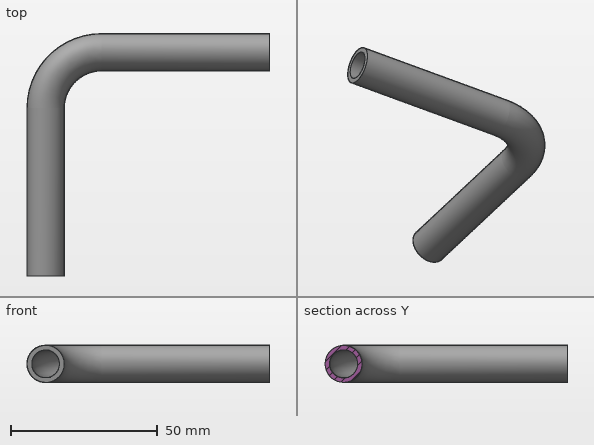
import cadquery as cq
import math

overall_length = 82.55
outer_diameter = 12.7
bore_diameter = 9.4
bend_radius = 1.5 * outer_diameter

leg_reach = overall_length - outer_diameter / 2

bend_start = (0, -bend_radius)
bend_end = (bend_radius, 0)
bend_middle_offset = bend_radius * (1 - math.cos(math.radians(45)))
bend_middle = (bend_middle_offset, -bend_middle_offset)

centreline = (
    cq.Workplane("XY")
    .moveTo(0, -leg_reach)
    .lineTo(*bend_start)
    .threePointArc(bend_middle, bend_end)
    .lineTo(leg_reach, 0)
)

wall_section = (
    cq.Workplane("XZ", origin=(0, -leg_reach, 0))
    .circle(outer_diameter / 2)
    .circle(bore_diameter / 2)
)

result = wall_section.sweep(centreline)